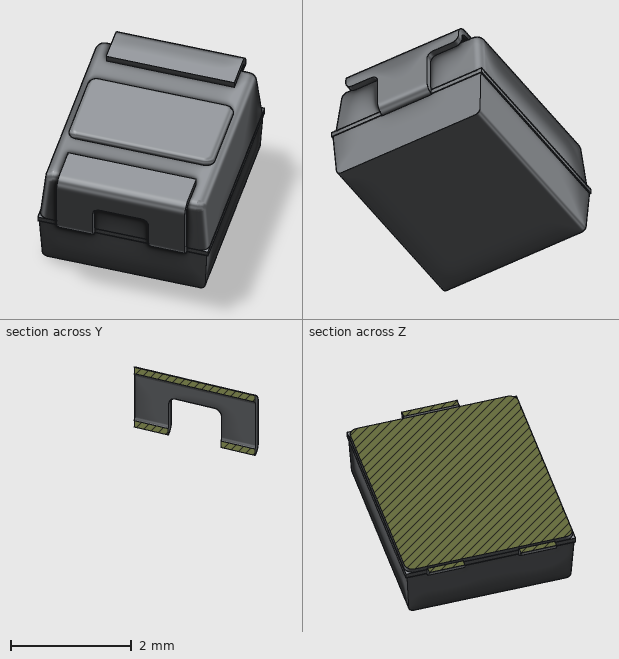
import cadquery as cq

LENGTH_Y = 3.7
HEIGHT = 2.03

BAND_X = 2.93
BAND_Y = 3.425
BAND_BOTTOM = 0.862
BAND_TOP = 0.955

LOWER_X = 2.885
LOWER_Y = 3.405
LOWER_DRAFT = 3.0
LOWER_EDGE_RADIUS = 0.1

UPPER_X = 2.915
UPPER_Y = 3.41
UPPER_DRAFT = 5.0
UPPER_RADIUS = 0.15

PAD_X = 2.51
PAD_Y = 1.4
PAD_TOP = 2.0
PAD_CORNER_RADIUS = 0.15
PAD_EDGE_RADIUS = 0.1

LEAD_THICKNESS = 0.11
LEAD_WIDTH = 2.205
LEAD_TOP_LENGTH = 0.703
LEAD_BEND_RADIUS = 0.2
LEAD_EMBED = 0.13
LEAD_SLOT_WIDTH = 0.962
LEAD_SLOT_TOP = 1.572
LEAD_SHOULDER = 1.67
LEAD_CORNER_RADIUS = 0.13

LEAD_CLEARANCE = 0.007
LEAD_UNDERSIDE = HEIGHT - LEAD_THICKNESS
BODY_TOP = LEAD_UNDERSIDE - LEAD_CLEARANCE

LEAD_DIP = 0.02
LEAD_BOTTOM = BAND_BOTTOM - LEAD_DIP


def make_band():
    band_height = BAND_TOP - BAND_BOTTOM
    return cq.Workplane("XY").workplane(offset=BAND_BOTTOM).rect(BAND_X, BAND_Y).extrude(band_height)


def make_lower_body():
    """Block narrowing downwards, with its two long bottom edges rounded."""
    return (
        cq.Workplane("XY")
        .workplane(offset=BAND_BOTTOM)
        .rect(LOWER_X, LOWER_Y)
        .extrude(-BAND_BOTTOM, taper=LOWER_DRAFT)
        .edges("<Z and |Y")
        .fillet(LOWER_EDGE_RADIUS)
    )


def make_upper_body():
    """Block narrowing upwards, with its corners and top edges rounded."""
    return (
        cq.Workplane("XY")
        .workplane(offset=BAND_TOP)
        .rect(UPPER_X, UPPER_Y)
        .extrude(BODY_TOP - BAND_TOP, taper=UPPER_DRAFT)
        .edges("not(#Z)")
        .fillet(UPPER_RADIUS)
        .faces(">Z")
        .edges()
        .fillet(UPPER_RADIUS)
    )


def make_pad():
    """Rounded pad whose lower part is sunk into the upper body."""
    pad_height = 2 * (PAD_TOP - BODY_TOP)
    return (
        cq.Workplane("XY")
        .workplane(offset=PAD_TOP - pad_height)
        .rect(PAD_X, PAD_Y)
        .extrude(pad_height)
        .edges("|Z")
        .fillet(PAD_CORNER_RADIUS)
        .faces(">Z")
        .edges()
        .fillet(PAD_EDGE_RADIUS)
    )


def make_lead_strip():
    """Full-width C-shaped strip on the -Y end."""
    outer_y = -LENGTH_Y / 2
    top_end_y = outer_y + LEAD_TOP_LENGTH
    embedded_y = -BAND_Y / 2 + LEAD_EMBED
    inner_radius = LEAD_BEND_RADIUS - LEAD_THICKNESS
    inner_y = outer_y + LEAD_THICKNESS
    bend_y = outer_y + LEAD_BEND_RADIUS
    upper_bend_z = HEIGHT - LEAD_BEND_RADIUS
    lower_bend_z = LEAD_BOTTOM + LEAD_BEND_RADIUS
    return (
        cq.Workplane("YZ")
        .moveTo(top_end_y, HEIGHT)
        .lineTo(bend_y, HEIGHT)
        .radiusArc((outer_y, upper_bend_z), -LEAD_BEND_RADIUS)
        .lineTo(outer_y, lower_bend_z)
        .radiusArc((bend_y, LEAD_BOTTOM), -LEAD_BEND_RADIUS)
        .lineTo(embedded_y, LEAD_BOTTOM)
        .lineTo(embedded_y, LEAD_BOTTOM + LEAD_THICKNESS)
        .lineTo(bend_y, LEAD_BOTTOM + LEAD_THICKNESS)
        .radiusArc((inner_y, lower_bend_z), inner_radius)
        .lineTo(inner_y, upper_bend_z)
        .radiusArc((bend_y, LEAD_UNDERSIDE), inner_radius)
        .lineTo(top_end_y, LEAD_UNDERSIDE)
        .close()
        .extrude(LEAD_WIDTH / 2, both=True)
    )


def make_slotted_lead():
    """Strip at the -Y end with a central slot that leaves two legs."""
    slot = (
        cq.Workplane("XY")
        .box(LEAD_SLOT_WIDTH, LENGTH_Y, LEAD_SLOT_TOP, centered=(True, True, False))
        .edges(">Z and |Y")
        .fillet(LEAD_CORNER_RADIUS)
    )
    return make_lead_strip().cut(slot)


def make_tongue_lead():
    """Strip at the +Y end, narrowed below its shoulders to one central tongue."""
    half_tongue = LEAD_SLOT_WIDTH / 2
    half_width = LEAD_WIDTH / 2
    strip = make_lead_strip().mirror("XZ")
    for side in (-1, 1):
        notch = (
            cq.Workplane("XZ")
            .moveTo(side * half_tongue, 0)
            .lineTo(side * half_tongue, LEAD_SHOULDER - LEAD_CORNER_RADIUS)
            .radiusArc(
                (side * (half_tongue + LEAD_CORNER_RADIUS), LEAD_SHOULDER), side * LEAD_CORNER_RADIUS
            )
            .lineTo(side * (half_width - LEAD_CORNER_RADIUS), LEAD_SHOULDER)
            .radiusArc(
                (side * half_width, LEAD_SHOULDER + LEAD_CORNER_RADIUS), -side * LEAD_CORNER_RADIUS
            )
            .lineTo(side * half_width, 0)
            .close()
            .extrude(-LENGTH_Y)
        )
        strip = strip.cut(notch)
    return strip


result = (
    make_band()
    .union(make_lower_body())
    .union(make_upper_body())
    .union(make_pad())
    .union(make_slotted_lead())
    .union(make_tongue_lead())
)